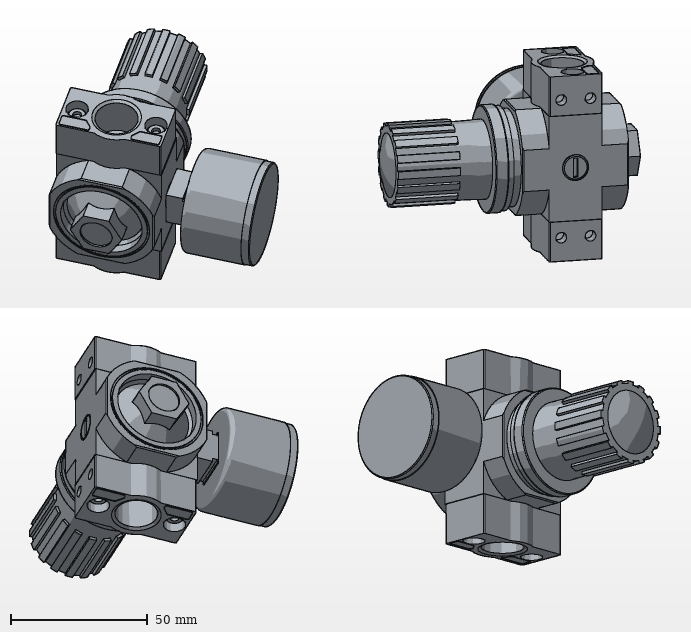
import cadquery as cq
import math


HOUSING_SIZE = 40.0
HALF = HOUSING_SIZE / 2
HOUSING_RADIUS = 21.5
FLAT_CHAMFER = 0.5
BAND_WIDTH = 19.95
BORE_DIAMETER = 11.0

NECK_DIAMETER = 36.2
NECK_END = 23.0
NUT_STEP_DIAMETER = 38.7
NUT_STEP_END = 25.0
NUT_DIAMETER = 39.8
NUT_END = 29.9
NUT_CHAMFER = 0.4

RING_GROOVE_OUTER_DIAMETER = 36.5
RING_GROOVE_INNER_DIAMETER = 35.0
RING_GROOVE_DEPTH = 0.5
RECESS_DIAMETER = 31.0
RECESS_WALL_DEPTH = 3.6
RECESS_DEPTH = 5.1
CONE_BASE_DIAMETER = 29.1
CONE_SLOPE = 1.1
HEX_ACROSS_FLATS = 17.0
HEX_ACROSS_CORNERS = HEX_ACROSS_FLATS / math.cos(math.radians(30))
HEX_END = -27.0
HEX_DIMPLE_DIAMETER = 12.2
HEX_DIMPLE_DEPTH = 0.8

OVERALL_HEIGHT = 70.0
PLATE_TOP = OVERALL_HEIGHT / 2
PLATE_THICKNESS = PLATE_TOP - HALF
PLATE_LEFT = -20.3
PLATE_LENGTH = HOUSING_SIZE
PLATE_RIGHT = PLATE_LEFT + PLATE_LENGTH
PLATE_EDGE_CHAMFER = 0.4
BOSS_RADIUS = 11.5
BOSS_BLEND = 1.4
PORT_DIAMETER = 15.7
PORT_MOUTH_DIAMETER = 18.1
PORT_MOUTH_DEPTH = 0.7
SIDE_HOLE_DIAMETER = 4.0
SIDE_HOLE_DEPTH = 4.75
SIDE_HOLE_TIP = 1.1
SIDE_HOLE_Y = 5.5
SIDE_HOLE_Z = 26.0

LABEL_MARGIN = 0.95
LABEL_INNER_X = 7.9
LABEL_SLOPE_X = 10.3
LABEL_TOP_Y = -4.5
LABEL_SLOPE_Y = -7.4
LABEL_BOTTOM_Y = -9.1
LABEL_DEPTH = 0.3
LABEL_CORNER_RADIUS = 0.7

SCREW_X = 15.0
SCREW_SINK = 3.0
SCREW_BORE_DIAMETER = 8.2
SCREW_HEAD_DIAMETER = 6.9
SCREW_HEAD_HEIGHT = 3.6
SCREW_HEAD_CHAMFER = 0.4
SCREW_SHANK_DIAMETER = 4.0
SCREW_REACH = 7.6
SCREW_SOCKET_DIAMETER = 3.2
SCREW_SOCKET_DEPTH = 1.4
SCREW_SOCKET_TIP = 0.95
SCREW_HEAD_TOP = PLATE_TOP - SCREW_SINK
SCREW_HEAD_BOTTOM = SCREW_HEAD_TOP - SCREW_HEAD_HEIGHT
SCREW_TIP = HALF - SCREW_REACH

KNOB_BASE_DIAMETER = 29.45
KNOB_DIAMETER = 28.9
KNOB_RIB_START = 42.2
KNOB_FACE = 65.6
KNOB_TOP = HEX_END + 95
KNOB_DOME_DIAMETER = 23.75
RIB_COUNT = 16
RIB_WIDTH = 2.85
RIB_OUTER_DIAMETER = 31.1

PLUG_DIAMETER = 9.7
PLUG_FACE_DIAMETER = 8.55
PLUG_LENGTH = 5.7
PLUG_SLOT_WIDTH = 1.6
PLUG_SLOT_LENGTH = 7.2
PLUG_SLOT_DEPTH = 1.4

STEM_DIAMETER = 9.7
STEM_DEPTH = 5.7
ADAPTER_START = 20.9
ADAPTER_WIDTH = 14.1
CLIP_SLOT_START = 27.2
CLIP_SLOT_WIDTH = 1.9
CLIP_SLOT_DEPTH = 1.4
GAUGE_START = 29.5
BEZEL_START = 52.9
GAUGE_END = 56.05
GAUGE_DIAMETER = 39.1
BEZEL_DIAMETER = 38.7
GAUGE_BACK_FILLET = 1.6
BEZEL_CHAMFER = 0.4


def turned_about_y(points):
    """Revolve an outline of (radius, y) points about the Y axis."""
    return cq.Workplane("XY").polyline(points).close().revolve(360, (0, 0, 0), (0, 1, 0))


def cylinder_x(diameter, start, end):
    return cq.Workplane("YZ").workplane(offset=start).circle(diameter / 2).extrude(end - start)


def cylinder_z(diameter, bottom, top, x=0):
    return cq.Workplane("XY").workplane(offset=bottom).center(x, 0).circle(diameter / 2).extrude(top - bottom)


def on_both_ends(solid):
    """Return a solid at +Z and its mirror image at -Z."""
    return [solid, solid.mirror("XY")]


def make_screw(x):
    head = cylinder_z(SCREW_HEAD_DIAMETER, SCREW_HEAD_BOTTOM, SCREW_HEAD_TOP, x)
    head = head.faces(">Z").edges().chamfer(SCREW_HEAD_CHAMFER)
    shank = cylinder_z(SCREW_SHANK_DIAMETER, SCREW_TIP, SCREW_HEAD_BOTTOM, x)
    socket_radius = SCREW_SOCKET_DIAMETER / 2
    socket_floor = SCREW_HEAD_TOP - SCREW_SOCKET_DEPTH
    socket = (
        cq.Workplane("XZ")
        .polyline([
            (0, SCREW_HEAD_TOP),
            (socket_radius, SCREW_HEAD_TOP),
            (socket_radius, socket_floor),
            (0, socket_floor - SCREW_SOCKET_TIP),
        ])
        .close()
        .revolve(360, (0, 0, 0), (0, 1, 0))
        .translate((x, 0, 0))
    )
    return head.union(shank).cut(socket)


def make_label_recess(outer_x):
    """Shallow five-sided label field at the -X end of a port plate."""
    return (
        cq.Workplane("XY")
        .workplane(offset=PLATE_TOP - LABEL_DEPTH)
        .polyline([
            (-outer_x, LABEL_TOP_Y),
            (-LABEL_SLOPE_X, LABEL_TOP_Y),
            (-LABEL_INNER_X, LABEL_SLOPE_Y),
            (-LABEL_INNER_X, LABEL_BOTTOM_Y),
            (-outer_x, LABEL_BOTTOM_Y),
        ])
        .close()
        .extrude(LABEL_DEPTH)
        .edges("|Z")
        .fillet(LABEL_CORNER_RADIUS)
    )


def make_side_hole(y):
    """Blind hole with a conical floor, drilled into the -X side of a port plate."""
    radius = SIDE_HOLE_DIAMETER / 2
    floor = PLATE_LEFT + SIDE_HOLE_DEPTH
    return (
        cq.Workplane("XY")
        .polyline([(PLATE_LEFT, 0), (PLATE_LEFT, radius), (floor, radius), (floor + SIDE_HOLE_TIP, 0)])
        .close()
        .revolve(360, (0, 0, 0), (1, 0, 0))
        .translate((0, y, SIDE_HOLE_Z))
    )


def make_port_plate():
    """Upper port plate, with its boss blended into the long sides."""
    plate = (
        cq.Workplane("XY")
        .workplane(offset=HALF)
        .center(PLATE_LEFT + PLATE_LENGTH / 2, 0)
        .rect(PLATE_LENGTH, BAND_WIDTH)
        .extrude(PLATE_THICKNESS)
        .edges("|Z")
        .chamfer(PLATE_EDGE_CHAMFER)
    )
    plate = plate.union(cylinder_z(2 * BOSS_RADIUS, HALF, PLATE_TOP))
    boss_reach = math.sqrt(BOSS_RADIUS**2 - (BAND_WIDTH / 2) ** 2)
    corner = boss_reach + BOSS_BLEND
    blend_zone = cq.selectors.BoxSelector(
        (-corner, -BOSS_RADIUS, HALF), (corner, BOSS_RADIUS, PLATE_TOP)
    )
    plate = plate.edges("|Z").edges(blend_zone).fillet(BOSS_BLEND)

    plate = plate.cut(cylinder_z(PORT_DIAMETER, HALF, PLATE_TOP))
    mouth = (
        cq.Workplane("XY")
        .workplane(offset=PLATE_TOP - PORT_MOUTH_DEPTH)
        .circle(PORT_DIAMETER / 2)
        .workplane(offset=PORT_MOUTH_DEPTH)
        .circle(PORT_MOUTH_DIAMETER / 2)
        .loft()
    )
    plate = plate.cut(mouth)

    for x in (-SCREW_X, SCREW_X):
        plate = plate.cut(cylinder_z(SCREW_BORE_DIAMETER, SCREW_HEAD_BOTTOM, PLATE_TOP, x))
        plate = plate.cut(cylinder_z(SCREW_SHANK_DIAMETER, HALF, SCREW_HEAD_BOTTOM, x))
    for y in (-SIDE_HOLE_Y, SIDE_HOLE_Y):
        plate = plate.cut(make_side_hole(y))

    left_label = make_label_recess(-PLATE_LEFT - LABEL_MARGIN)
    right_label = make_label_recess(PLATE_RIGHT - LABEL_MARGIN).mirror("YZ")
    return plate.cut(left_label).cut(right_label)


def make_plug():
    """Slotted blanking plug, flush with the -X face of the housing."""
    plug = cylinder_x(PLUG_DIAMETER, -HALF, -HALF + PLUG_LENGTH)
    plug = plug.faces("<X").edges().chamfer((PLUG_DIAMETER - PLUG_FACE_DIAMETER) / 2)
    slot = cq.Workplane("XY").box(2 * PLUG_SLOT_DEPTH, PLUG_SLOT_WIDTH, PLUG_SLOT_LENGTH)
    return plug.cut(slot.translate((-HALF, 0, 0)))


def make_gauge():
    """Gauge case with its square adapter and the stem that enters the housing."""
    case = cylinder_x(GAUGE_DIAMETER, GAUGE_START, BEZEL_START).faces("<X").edges().fillet(GAUGE_BACK_FILLET)
    bezel = cylinder_x(BEZEL_DIAMETER, BEZEL_START, GAUGE_END).faces(">X").edges().chamfer(BEZEL_CHAMFER)
    adapter = (
        cq.Workplane("YZ")
        .workplane(offset=ADAPTER_START)
        .rect(ADAPTER_WIDTH, ADAPTER_WIDTH)
        .extrude(GAUGE_START - ADAPTER_START)
    )
    clip_slot = cq.Workplane("XY").box(CLIP_SLOT_WIDTH, ADAPTER_WIDTH, 2 * CLIP_SLOT_DEPTH)
    clip_slot = clip_slot.translate((CLIP_SLOT_START + CLIP_SLOT_WIDTH / 2, 0, ADAPTER_WIDTH / 2))
    for slot in on_both_ends(clip_slot):
        adapter = adapter.cut(slot)
    stem = cylinder_x(STEM_DIAMETER, HALF - STEM_DEPTH, ADAPTER_START)
    return case.union(bezel).union(adapter).union(stem)


def make_knob():
    """Adjusting knob with a domed top and straight grip ribs."""
    base_radius = KNOB_BASE_DIAMETER / 2
    radius = KNOB_DIAMETER / 2
    knob = turned_about_y([
        (0, NUT_END),
        (base_radius, NUT_END),
        (radius, KNOB_RIB_START),
        (radius, KNOB_FACE),
        (0, KNOB_FACE),
    ])
    rib_length = KNOB_FACE - KNOB_RIB_START
    ribs = (
        cq.Workplane("XZ", origin=(0, KNOB_FACE, 0))
        .polarArray(RIB_OUTER_DIAMETER / 4, 0, 360, RIB_COUNT)
        .rect(RIB_OUTER_DIAMETER / 2, RIB_WIDTH)
        .extrude(rib_length)
    )
    rib_limit = cq.Workplane("XZ", origin=(0, KNOB_FACE, 0)).circle(RIB_OUTER_DIAMETER / 2).extrude(rib_length)

    dome_height = KNOB_TOP - KNOB_FACE
    dome_edge = KNOB_DOME_DIAMETER / 2
    dome_radius = (dome_edge**2 + dome_height**2) / (2 * dome_height)
    half_angle = math.asin(dome_edge / dome_radius) / 2
    dome_center = KNOB_TOP - dome_radius
    dome_middle = (dome_radius * math.sin(half_angle), dome_center + dome_radius * math.cos(half_angle))
    dome = (
        cq.Workplane("XY")
        .moveTo(0, KNOB_FACE)
        .lineTo(dome_edge, KNOB_FACE)
        .threePointArc(dome_middle, (0, KNOB_TOP))
        .close()
        .revolve(360, (0, 0, 0), (0, 1, 0))
    )
    return knob.union(ribs.intersect(rib_limit)).union(dome)


def make_hex_end():
    """Conical dome rising from the recess floor, carrying the hexagon."""
    floor = -HALF + RECESS_DEPTH
    base = CONE_BASE_DIAMETER / 2
    tip = HEX_ACROSS_FLATS / 4
    cone = turned_about_y([
        (0, floor),
        (base, floor),
        (tip, floor - (base - tip) * CONE_SLOPE),
        (0, floor - (base - tip) * CONE_SLOPE),
    ])
    hexagon = (
        cq.Workplane("XZ", origin=(0, floor, 0))
        .polygon(6, HEX_ACROSS_CORNERS)
        .extrude(floor - HEX_END)
    )
    hex_dimple = (
        cq.Workplane("XZ", origin=(0, HEX_END + HEX_DIMPLE_DEPTH, 0))
        .circle(HEX_DIMPLE_DIAMETER / 2)
        .extrude(HEX_DIMPLE_DEPTH)
    )
    return cone.union(hexagon).cut(hex_dimple)


def make_housing():
    block = cq.Workplane("XY").box(HOUSING_SIZE, HOUSING_SIZE, HOUSING_SIZE)
    flats = block.faces("<Y or >Y").edges().chamfer(FLAT_CHAMFER)
    round_block = cq.Workplane("XZ").circle(HOUSING_RADIUS).extrude(HALF, both=True)
    band = cq.Workplane("XY").box(HOUSING_SIZE, BAND_WIDTH, HOUSING_SIZE)
    housing = round_block.intersect(flats).union(band)

    face = cq.Workplane("XZ", origin=(0, -HALF, 0))
    recess = turned_about_y([
        (0, -HALF),
        (RECESS_DIAMETER / 2, -HALF),
        (RECESS_DIAMETER / 2, -HALF + RECESS_WALL_DEPTH),
        (CONE_BASE_DIAMETER / 2, -HALF + RECESS_DEPTH),
        (0, -HALF + RECESS_DEPTH),
    ])
    ring_groove = (
        face.circle(RING_GROOVE_OUTER_DIAMETER / 2)
        .circle(RING_GROOVE_INNER_DIAMETER / 2)
        .extrude(-RING_GROOVE_DEPTH)
    )
    housing = housing.cut(recess).cut(ring_groove).union(make_hex_end())

    neck_radius = NECK_DIAMETER / 2
    step_radius = NUT_STEP_DIAMETER / 2
    nut_radius = NUT_DIAMETER / 2
    neck_and_nut = turned_about_y([
        (0, HALF),
        (neck_radius, HALF),
        (neck_radius, NECK_END),
        (step_radius, NECK_END),
        (step_radius, NUT_STEP_END),
        (nut_radius - NUT_CHAMFER, NUT_STEP_END),
        (nut_radius, NUT_STEP_END + NUT_CHAMFER),
        (nut_radius, NUT_END - NUT_CHAMFER),
        (nut_radius - NUT_CHAMFER, NUT_END),
        (0, NUT_END),
    ])
    housing = housing.union(neck_and_nut)

    housing = housing.cut(cylinder_z(BORE_DIAMETER, -HALF, HALF))
    for x in (-SCREW_X, SCREW_X):
        for screw_hole in on_both_ends(cylinder_z(SCREW_SHANK_DIAMETER, SCREW_TIP, HALF, x)):
            housing = housing.cut(screw_hole)
    housing = housing.cut(cylinder_x(PLUG_DIAMETER, -HALF, -HALF + PLUG_LENGTH))
    return housing.cut(cylinder_x(STEM_DIAMETER, HALF - STEM_DEPTH, HALF))


housing = make_housing()
knob = make_knob()
plug = make_plug()
gauge = make_gauge()
port_plates = on_both_ends(make_port_plate())
screws = []
for screw_x in (-SCREW_X, SCREW_X):
    screws += on_both_ends(make_screw(screw_x))

bodies = [housing, knob, plug, gauge, *port_plates, *screws]
result = cq.Compound.makeCompound([body.solids().val() for body in bodies])